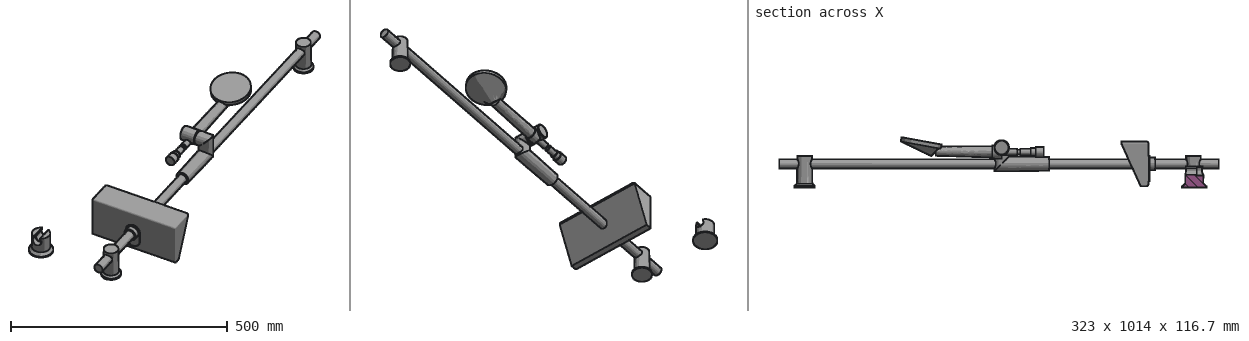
import cadquery as cq
import math


rail_length = 1014.0
rail_d = 22.0
wall_z = -55.0
post_y = 448.0
post_top_z = 18.0
post_top_d = 34.0
post_foot_d = 36.0
post_base_d = 47.0
post_base_rim = 4.0
post_base_h = 9.0

dish_width = 221.0
dish_front_y = -345.0
dish_depth = 63.0
dish_bottom_depth = 18.0
dish_top_z = 52.0
dish_bottom_z = -52.0
dish_edge_r = 5.0
pad_width = 36.0
pad_bottom_z = -41.0
pad_thickness = 3.0
collar_d = 30.0
collar_length = 15.0

slider_d = 34.0
sleeve_end_d = 32.0
sleeve_end_y = -116.0
pivot_y = -6.0
pivot_z = 38.0
holder_d = 34.0
holder_outer_x = -60.0
holder_inner_x = -21.0
holder_edge_chamfer = 1.5
joint_groove = 1.5

handset_x = -40.0
handle_z = 27.0
handle_d = 27.0
handle_tip_width = 25.0
handle_tip_height = 22.0
handle_tip_y = 146.0
handle_tip_z = 29.0
handle_seat_d = 30.0
handle_seat_y = 15.0
head_d = 94.0
head_rim = 10.0
head_tilt = 10.4
head_y = 178.0
head_z = 53.2
neck_tilt = 45.0
neck_y = 148.0
neck_z = 25.8
neck_height = 16.0

connector_steps = [(15.0, -42.0), (11.0, -49.0), (15.0, -73.0), (19.0, -84.0), (23.0, -103.0)]

hook_x = -184.0
hook_y = -450.0
hook_height = 50.0
hook_d = 43.0
hook_base_d = 57.0
hook_base_rim = 3.0
hook_base_h = 10.0
hook_bore_d = 19.0
hook_mouth_d = 22.0
hook_slot_width = 16.0
hook_bore_drop = 10.0
hook_mouth_y = -6.0


def cylinder_y(diameter, x, z, y_start, y_end):
    """Cylinder along Y between two Y positions."""
    return cq.Workplane("XZ", origin=(x, y_start, z)).circle(diameter / 2).extrude(y_start - y_end)


def flanged_post(foot_d, top_d, height, base_d, rim_h, base_h):
    """Turned post with a thin rim and a conical base, standing on Z = 0."""
    return (
        cq.Workplane("XZ")
        .polyline([
            (0, 0),
            (base_d / 2, 0),
            (base_d / 2, rim_h),
            (foot_d / 2, base_h),
            (top_d / 2, height),
            (0, height),
        ])
        .close()
        .revolve(360, (0, 0, 0), (0, 1, 0))
    )


def make_rail():
    rail = cylinder_y(rail_d, 0, 0, -rail_length / 2, rail_length / 2)
    for y in (-post_y, post_y):
        post = flanged_post(
            post_foot_d, post_top_d, post_top_z - wall_z, post_base_d, post_base_rim, post_base_h
        )
        rail = rail.union(post.translate((0, y, wall_z)))
    return rail


def make_soap_dish():
    profile = [
        (dish_front_y, dish_top_z),
        (dish_front_y + dish_depth, dish_top_z),
        (dish_front_y + dish_depth, dish_top_z - dish_edge_r),
        (dish_front_y + dish_bottom_depth, dish_bottom_z),
        (dish_front_y, dish_bottom_z),
    ]
    dish = cq.Workplane("YZ").polyline(profile).close().extrude(dish_width / 2, both=True)
    dish = dish.edges("<Y or (>Z and |Y)").fillet(dish_edge_r)

    pad_top_z = pad_width / 2
    pad = (
        cq.Workplane("XZ", origin=(0, dish_front_y, (pad_top_z + pad_bottom_z) / 2))
        .slot2D(pad_top_z - pad_bottom_z, pad_width, 90)
        .extrude(pad_thickness)
    )
    collar = cylinder_y(collar_d, 0, 0, dish_front_y, dish_front_y - collar_length)
    rail_hole = cylinder_y(rail_d, 0, 0, -rail_length / 2, 0)
    return dish.union(pad).union(collar).cut(rail_hole)


def make_slider():
    sleeve_start_y = pivot_y - slider_d
    path = cq.Workplane("XY").polyline([
        (holder_inner_x, pivot_y, pivot_z),
        (0, pivot_y, pivot_z),
        (0, pivot_y, 0),
        (0, sleeve_start_y, 0),
    ])
    start = cq.Plane(origin=(holder_inner_x, pivot_y, pivot_z), xDir=(0, 1, 0), normal=(1, 0, 0))
    elbow = cq.Workplane(start).circle(slider_d / 2).sweep(path, transition="right")
    sleeve = (
        cq.Workplane("XZ", origin=(0, sleeve_start_y, 0))
        .circle(slider_d / 2)
        .workplane(offset=sleeve_start_y - sleeve_end_y)
        .circle(sleeve_end_d / 2)
        .loft()
    )
    rail_hole = cylinder_y(rail_d, 0, 0, -rail_length / 2, rail_length / 2)
    return elbow.union(sleeve).cut(rail_hole)


def make_holder():
    holder = (
        cq.Workplane("YZ", origin=(holder_outer_x, pivot_y, pivot_z))
        .circle(holder_d / 2)
        .extrude(holder_inner_x - joint_groove - holder_outer_x)
        .edges("<X")
        .chamfer(holder_edge_chamfer)
    )
    spigot = (
        cq.Workplane("YZ", origin=(holder_inner_x - joint_groove, pivot_y, pivot_z))
        .circle(slider_d / 2 - joint_groove)
        .extrude(joint_groove)
    )
    return holder.union(spigot)


def make_head():
    tilt = math.radians(head_tilt)
    face_normal = cq.Vector(0, -math.sin(tilt), math.cos(tilt))
    face_center = cq.Vector(handset_x, head_y, head_z)
    rim_center = face_center - face_normal * head_rim
    rim_plane = cq.Plane(origin=rim_center.toTuple(), xDir=(1, 0, 0), normal=face_normal.toTuple())
    rim = cq.Workplane(rim_plane).circle(head_d / 2).extrude(head_rim)

    neck_angle = math.radians(neck_tilt)
    neck_plane = cq.Plane(
        origin=(handset_x, neck_y, neck_z),
        xDir=(1, 0, 0),
        normal=(0, math.sin(neck_angle), math.cos(neck_angle)),
    )
    neck_length = neck_height / math.cos(neck_angle)
    neck_wire = cq.Workplane(neck_plane).ellipse(handle_tip_width / 2, neck_length / 2).wires().val()
    rim_wire = cq.Workplane(rim_plane).circle(head_d / 2).wires().val()
    underside = cq.Workplane(cq.Solid.makeLoft([neck_wire, rim_wire], True))
    return rim.union(underside)


def make_handset():
    handle = (
        cq.Workplane("XZ", origin=(handset_x, handle_tip_y, handle_tip_z))
        .ellipse(handle_tip_width / 2, handle_tip_height / 2)
        .workplane(offset=handle_tip_y - pivot_y)
        .center(0, handle_z - handle_tip_z)
        .ellipse(handle_d / 2, handle_d / 2)
        .loft()
    )
    seat = cylinder_y(handle_seat_d, handset_x, handle_z, pivot_y, handle_seat_y)
    handset = make_head().union(handle).union(seat)
    step_start_y = pivot_y
    for diameter, step_end_y in connector_steps:
        handset = handset.union(cylinder_y(diameter, handset_x, handle_z, step_start_y, step_end_y))
        step_start_y = step_end_y
    return handset


def make_shower():
    """Slider, holder and handset as one body riding on the rail."""
    return make_slider().union(make_holder()).union(make_handset())


def make_hook():
    body = flanged_post(hook_d, hook_d, hook_height, hook_base_d, hook_base_rim, hook_base_h)
    bore_z = hook_height - hook_bore_drop
    bore = cylinder_y(hook_bore_d, 0, bore_z, hook_mouth_y, hook_d)
    mouth = cylinder_y(hook_mouth_d, 0, bore_z, hook_mouth_y, -hook_d)
    slot = cq.Workplane("XY", origin=(0, 0, bore_z)).rect(hook_slot_width, 2 * hook_d).extrude(hook_height)
    return body.cut(bore).cut(mouth).cut(slot).translate((hook_x, hook_y, wall_z))


rail = make_rail()
soap_dish = make_soap_dish()
shower = make_shower()
hook = make_hook()

result = cq.Compound.makeCompound([rail.val(), soap_dish.val(), shower.val(), hook.val()])